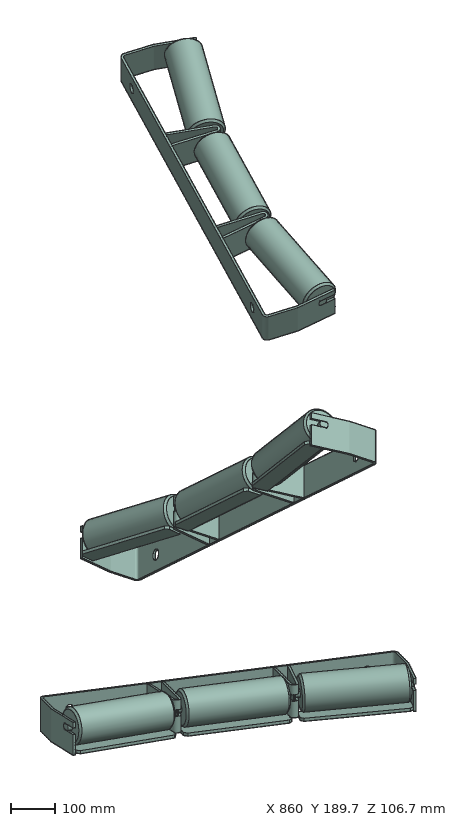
import cadquery as cq
import math

frame_length = 860.0
strip_height = 80.0
strip_thickness = 6.0
bend_radius = 12.0
end_top_y = 181.0
mount_slot_spacing = 715.5
mount_slot_width = 18.0
mount_slot_height = 27.0

roller_diameter = 89.0
roller_radius = roller_diameter / 2
roller_length = 251.0
roller_chamfer = 5.0
middle_roller_center = cq.Vector(0, 100.0, 48.0)
side_roller_center = cq.Vector(-284.0, 125.0, 53.0)
side_angle = 10.0
side_rise = 2.0

axle_radius = 10.0
axle_flat_height = 14.0
axle_slot_height = 15.5
slot_overcut = 3.0
tongue_length = 9.0

support_half_gap = 131.0
support_half_span = support_half_gap + strip_thickness
axle_length = 2 * support_half_span
arch_inner_radius = 4.0
arch_top_y = 127.0

bar_length = 261.0
bar_width = 45.0
bar_thickness = 8.0
bar_chamfer = 8.0
bar_edge_offset = 42.0
bar_bottom_drop = 53.0
bar_drop = bar_bottom_drop - bar_thickness / 2

turn = math.radians(side_angle)


def place_level(body):
    """Move a body from the roller's own axes to the middle station."""
    return body.translate(middle_roller_center)


def place_left(body):
    """Lift, turn and move a body from the roller's own axes to the left station."""
    lifted = body.rotate((0, 0, 0), (0, 1, 0), side_rise)
    turned = lifted.rotate((0, 0, 0), (0, 0, 1), -side_angle)
    return turned.translate(side_roller_center)


def mirrored(body):
    """Copy of a left-hand body on the right-hand side."""
    return body.mirror("YZ")


def side_wall_x(distance, y):
    """X of a leaning wall face at the given Y, at a signed distance along the left roller's axis."""
    slant = (y - side_roller_center.y) * math.tan(turn)
    return side_roller_center.x + distance / math.cos(turn) + slant


def cylinder(radius, length):
    """Cylinder along X, centred on the origin."""
    return cq.Workplane("YZ", origin=(-length / 2, 0, 0)).circle(radius).extrude(length)


def flattened_axle(length, flat_height):
    """Round bar along X, cut by a flat above and a flat below."""
    band = cq.Workplane("XY").box(length, 2 * axle_radius, flat_height)
    return cylinder(axle_radius, length).intersect(band)


def make_roller():
    """Chamfered roller with its axle, along X and centred on the origin."""
    shell = cylinder(roller_radius, roller_length).faces("<X or >X").chamfer(roller_chamfer)
    collar = cylinder(axle_radius, axle_length - 2 * tongue_length)
    return shell.union(collar).union(flattened_axle(axle_length, axle_flat_height))


def make_axle_slots():
    """Cutters for the two slots of one roller, open toward +Y."""
    cutter_length = axle_length + 2 * slot_overcut
    opening = cq.Workplane("XY").box(
        cutter_length, roller_diameter, axle_slot_height, centered=(True, False, True)
    )
    full_cutter = flattened_axle(cutter_length, axle_slot_height).union(opening)
    middle = cylinder(2 * roller_diameter, roller_length)
    return full_cutter.cut(middle)


axle_slots = make_axle_slots()
left_slots = place_left(axle_slots)
right_slots = mirrored(left_slots)


def make_bar(axial_shift=0):
    """Flat bar below the roller, with its two back corners cut off."""
    return (
        cq.Workplane("XY")
        .box(bar_length, bar_width, bar_thickness)
        .edges("|Z and >Y")
        .chamfer(bar_chamfer)
        .translate((axial_shift, bar_edge_offset - bar_width / 2, -bar_drop))
    )


def round_bend(body, outer_point, inner_point, outer_radius):
    """Round both edges of a strip bend about the same centre."""
    corners = [(outer_point, outer_radius), (inner_point, outer_radius - strip_thickness)]
    for point, radius in corners:
        nearest = cq.selectors.NearestToPointSelector((*point, strip_height / 2))
        body = body.edges("|Z").edges(nearest).fillet(radius)
    return body


def make_frame():
    """Strip bent at two corners, with leaning ends, mounting slots and slots for the outer axle ends."""
    half_length = frame_length / 2
    inner_x = strip_thickness - half_length
    outer_at_center = side_wall_x(-support_half_span, side_roller_center.y)
    bend_y = side_roller_center.y - (outer_at_center + half_length) / math.tan(turn)
    inner_bend_y = bend_y - strip_thickness * math.tan(turn / 2)
    end_x = side_wall_x(-support_half_span, end_top_y)
    left_half = (
        cq.Workplane("XY")
        .moveTo(0, 0)
        .lineTo(-half_length, 0)
        .lineTo(-half_length, bend_y)
        .lineTo(end_x, end_top_y)
        .lineTo(
            end_x + strip_thickness * math.cos(turn),
            end_top_y - strip_thickness * math.sin(turn),
        )
        .lineTo(inner_x, inner_bend_y)
        .lineTo(inner_x, strip_thickness)
        .lineTo(0, strip_thickness)
        .close()
        .extrude(strip_height)
    )
    left_half = round_bend(left_half, (-half_length, 0), (inner_x, strip_thickness), bend_radius)
    left_half = round_bend(left_half, (-half_length, bend_y), (inner_x, inner_bend_y), bend_radius)
    strip = left_half.union(mirrored(left_half))
    mount_slots = (
        cq.Workplane("XZ")
        .center(0, strip_height / 2)
        .rarray(mount_slot_spacing, 9, 2, 1)
        .slot2D(mount_slot_height, mount_slot_width, 90)
        .extrude(-2 * strip_thickness)
    )
    return strip.cut(mount_slots).cut(left_slots).cut(right_slots)


def bracket_prism(inset):
    """Prism bounded by the bracket's two legs and its arch, all moved inward by the inset."""
    leg_distance = support_half_gap + inset
    top_y = arch_top_y - inset
    outline = [
        (side_wall_x(leg_distance, strip_thickness), strip_thickness),
        (-leg_distance, strip_thickness),
        (-leg_distance, top_y),
        (side_wall_x(leg_distance, top_y), top_y),
    ]
    prism = cq.Workplane("XY").polyline(outline).close().extrude(strip_height)
    return prism.edges("|Z and >Y").fillet(arch_inner_radius + strip_thickness - inset)


def make_left_bracket():
    """Folded strip with one upright leg, one leaning leg and an arch joining them."""
    strip = bracket_prism(0).cut(bracket_prism(strip_thickness))
    return strip.cut(left_slots).cut(place_level(axle_slots))


frame = make_frame()
left_bracket = make_left_bracket()
brackets = [left_bracket, mirrored(left_bracket)]

roller = make_roller()
left_roller = place_left(roller)
rollers = [left_roller, place_level(roller), mirrored(left_roller)]

swing = bar_drop * math.tan(math.radians(side_rise))
left_bar = place_left(make_bar(axial_shift=swing))
bars = [left_bar, place_level(make_bar()), mirrored(left_bar)]

bodies = [frame, *brackets, *rollers, *bars]
result = cq.Compound.makeCompound([body.val() for body in bodies])